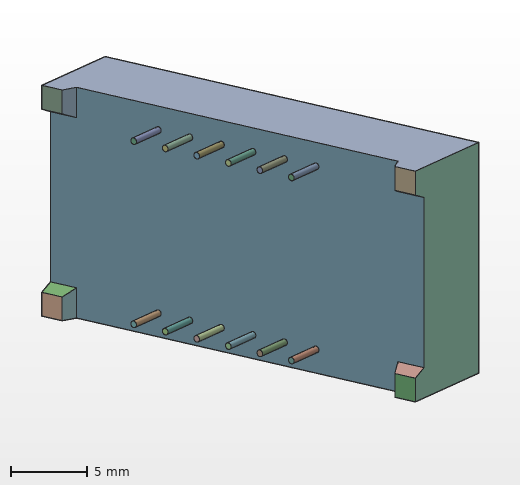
import cadquery as cq

body_length = 30.1
body_height = 16.0
total_depth = 9.0

foot_height = 1.0
foot_base_side = 2.1
foot_tip_side = 1.65

pin_diameter = 0.45
pin_length = 2.8
pins_per_row = 6
pin_rows = 2
row_spacing = 12.7
pitches_per_row_spacing = 5
pin_pitch = row_spacing / pitches_per_row_spacing

body_depth = total_depth - pin_length


def make_body():
    """Plain block with its pin-side face on the plane Y = 0."""
    return cq.Workplane("XY").box(body_length, body_depth, body_height, centered=(True, False, True))


def make_feet():
    """Four feet flush with the body corners, sloped only on their two inner sides."""
    foot = (
        cq.Workplane("XY")
        .wedge(
            foot_base_side,
            foot_height,
            foot_base_side,
            xmin=0,
            zmin=0,
            xmax=foot_tip_side,
            zmax=foot_tip_side,
            centered=False,
        )
        .mirror("XZ")
        .translate((-body_length / 2, 0, -body_height / 2))
    )
    lower_feet = foot.union(foot.mirror("YZ"))
    return lower_feet.union(lower_feet.mirror("XY"))


def make_pins():
    """Two rows of round pins pointing toward -Y."""
    return (
        cq.Workplane("XZ")
        .rarray(pin_pitch, row_spacing, pins_per_row, pin_rows)
        .circle(pin_diameter / 2)
        .extrude(pin_length)
    )


result = make_body().union(make_feet()).union(make_pins())